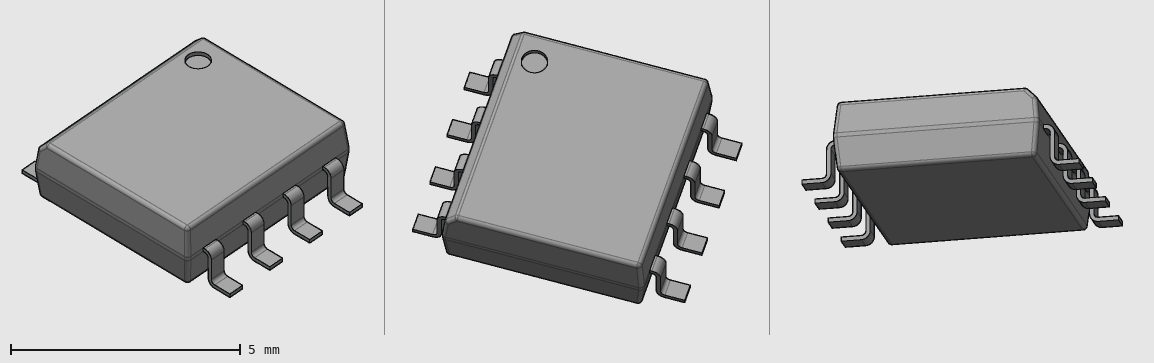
import cadquery as cq
import math


SPAN = 6.2
TOTAL_HEIGHT = 1.7

HOUSING_WIDTH = 4.6
HOUSING_LENGTH = 5.2
STANDOFF = 0.1
BAND_TOP = 0.95
DRAFT_ANGLE = 6.0
EDGE_RADIUS = 0.1
BEVEL_DROP = 0.25

MARK_DIAMETER = 0.575
MARK_DEPTH = 0.1
MARK_X = -1.54
MARK_Y = 1.83

LEADS_PER_SIDE = 4
LEAD_PITCH = 1.27
LEAD_WIDTH = 0.41
LEAD_THICKNESS = 0.1
FOOT_LENGTH = 0.45
BEND_INNER_RADIUS = 0.1

BAND_BOTTOM = BAND_TOP - LEAD_THICKNESS
UPPER_HEIGHT = TOTAL_HEIGHT - BAND_TOP
LOWER_HEIGHT = BAND_BOTTOM - STANDOFF
BEND_OUTER_RADIUS = BEND_INNER_RADIUS + LEAD_THICKNESS


def make_drafted_half(parting_z, height):
    """Block with sharp edges that narrows from the parting band; a negative height goes downward."""
    return (
        cq.Workplane("XY", origin=(0, 0, parting_z))
        .rect(HOUSING_WIDTH, HOUSING_LENGTH)
        .extrude(height, taper=DRAFT_ANGLE)
    )


def make_bevel_cutter():
    """Triangular prism that removes the upper edge on the -X side at 45 degrees."""
    bevel_foot_z = TOTAL_HEIGHT - BEVEL_DROP
    wall_inset = (bevel_foot_z - BAND_TOP) * math.tan(math.radians(DRAFT_ANGLE))
    bevel_foot_x = wall_inset - HOUSING_WIDTH / 2
    return (
        cq.Workplane("XZ")
        .moveTo(bevel_foot_x - BEVEL_DROP, bevel_foot_z - BEVEL_DROP)
        .lineTo(bevel_foot_x + 2 * BEVEL_DROP, TOTAL_HEIGHT + BEVEL_DROP)
        .lineTo(bevel_foot_x - BEVEL_DROP, TOTAL_HEIGHT + BEVEL_DROP)
        .close()
        .extrude(HOUSING_LENGTH / 2, both=True)
    )


def make_mark_cutter():
    """Shallow round recess that marks pin 1."""
    return (
        cq.Workplane("XY", origin=(MARK_X, MARK_Y, TOTAL_HEIGHT - MARK_DEPTH))
        .circle(MARK_DIAMETER / 2)
        .extrude(MARK_DEPTH)
    )


def make_housing():
    """Moulded housing in one piece: upper half, parting band and lower half."""
    upper = make_drafted_half(BAND_TOP, UPPER_HEIGHT).cut(make_bevel_cutter())
    lower = make_drafted_half(BAND_BOTTOM, -LOWER_HEIGHT)
    upper = upper.edges("not <Z").fillet(EDGE_RADIUS)
    lower = lower.edges("not >Z").fillet(EDGE_RADIUS)
    band = upper.faces("<Z").wires().toPending().extrude(-LEAD_THICKNESS, combine=False)
    return band.union(upper).union(lower).cut(make_mark_cutter())


def make_lead():
    """Gull-wing lead on the +X side, centred on Y = 0, butting against the parting band."""
    tip_x = SPAN / 2
    foot_x = tip_x - FOOT_LENGTH
    outer_x = foot_x - BEND_INNER_RADIUS
    inner_x = outer_x - LEAD_THICKNESS
    shoulder_x = outer_x - BEND_OUTER_RADIUS
    root_x = HOUSING_WIDTH / 2
    lower_bend_z = BEND_OUTER_RADIUS
    upper_bend_z = BAND_TOP - BEND_OUTER_RADIUS
    arc_mid = math.sqrt(0.5)
    outer_mid = BEND_OUTER_RADIUS * arc_mid
    inner_mid = BEND_INNER_RADIUS * arc_mid
    return (
        cq.Workplane("XZ")
        .moveTo(root_x, BAND_TOP)
        .lineTo(shoulder_x, BAND_TOP)
        .threePointArc((shoulder_x + outer_mid, upper_bend_z + outer_mid), (outer_x, upper_bend_z))
        .lineTo(outer_x, lower_bend_z)
        .threePointArc((foot_x - inner_mid, lower_bend_z - inner_mid), (foot_x, LEAD_THICKNESS))
        .lineTo(tip_x, LEAD_THICKNESS)
        .lineTo(tip_x, 0)
        .lineTo(foot_x, 0)
        .threePointArc((foot_x - outer_mid, lower_bend_z - outer_mid), (inner_x, lower_bend_z))
        .lineTo(inner_x, upper_bend_z)
        .threePointArc((shoulder_x + inner_mid, upper_bend_z + inner_mid), (shoulder_x, BAND_BOTTOM))
        .lineTo(root_x, BAND_BOTTOM)
        .close()
        .extrude(LEAD_WIDTH / 2, both=True)
    )


def make_leads():
    """One row of leads on each side of the housing."""
    right_lead = make_lead().val()
    left_lead = right_lead.mirror("YZ")
    first_y = -LEAD_PITCH * (LEADS_PER_SIDE - 1) / 2
    leads = []
    for lead in (left_lead, right_lead):
        for index in range(LEADS_PER_SIDE):
            leads.append(lead.translate(cq.Vector(0, first_y + index * LEAD_PITCH, 0)))
    return leads


housing = make_housing()
leads = make_leads()
result = cq.Compound.makeCompound([housing.solids().val(), *leads])